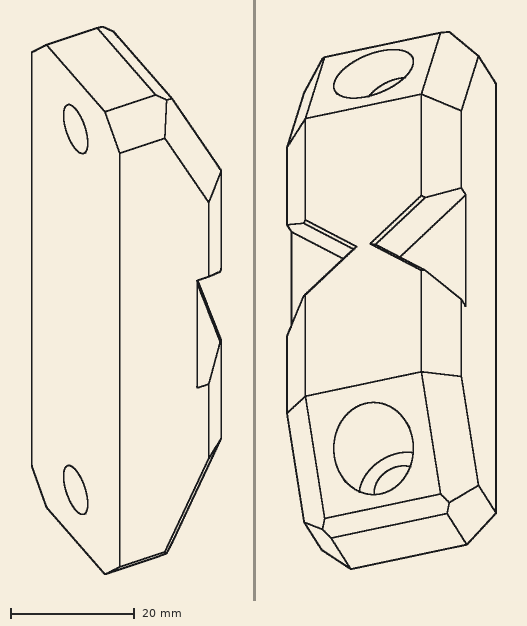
import cadquery as cq

WIDTH = 30.0
THICKNESS = 21.4
LENGTH = 95.0
BEVEL = 5.0

SLOPE_LENGTH = 20.0
SLOPE_END_Y = 11.4
END_CHAMFER = 2.1

HOLE_OFFSET = 37.05
HOLE_DIAMETER = 8.3
COUNTERBORE_DIAMETER = 13.5
COUNTERBORE_FLOOR_Y = 5.0

NOTCH_HALF_WIDTH = 11.0
NOTCH_DEPTH = 13.1
NOTCH_FLOOR_Y = 14.25
NOTCH_EDGE_CHAMFER = 0.5


def make_body():
    half_length = LENGTH / 2
    flat_half = half_length - SLOPE_LENGTH
    profile = [
        (0, -half_length),
        (SLOPE_END_Y, -half_length),
        (THICKNESS, -flat_half),
        (THICKNESS, flat_half),
        (SLOPE_END_Y, half_length),
        (0, half_length),
    ]
    body = cq.Workplane("YZ").polyline(profile).close().extrude(WIDTH / 2, both=True)

    back_edges = body.faces(">Y or (not(#Y or |Y))").edges("not(|X)")
    body = back_edges.chamfer(BEVEL)

    end_cutters = cq.Workplane("YZ").workplane(offset=-WIDTH / 2)
    run = END_CHAMFER / (SLOPE_LENGTH**2 + (THICKNESS - SLOPE_END_Y) ** 2) ** 0.5
    for end in (-1, 1):
        corner = (SLOPE_END_Y, end * half_length)
        on_end = (SLOPE_END_Y - END_CHAMFER, end * half_length)
        on_slope = (
            SLOPE_END_Y + run * (THICKNESS - SLOPE_END_Y),
            end * (half_length - run * SLOPE_LENGTH),
        )
        cutter = end_cutters.polyline([corner, on_end, on_slope]).close().extrude(WIDTH)
        body = body.cut(cutter)

    outline = cq.Workplane("XY").box(WIDTH, 2 * THICKNESS, LENGTH).edges("|Y").chamfer(BEVEL)
    return body.intersect(outline)


def y_cylinder(diameter, start_y, z):
    plane = cq.Workplane("XZ", origin=(0, start_y, z))
    return plane.circle(diameter / 2).extrude(-THICKNESS)


def side_notch(side):
    edge_x = side * WIDTH / 2
    triangle = [
        (edge_x, -NOTCH_HALF_WIDTH),
        (edge_x - side * NOTCH_DEPTH, 0),
        (edge_x, NOTCH_HALF_WIDTH),
    ]
    plane = cq.Workplane("XZ", origin=(0, NOTCH_FLOOR_Y, 0))
    return plane.polyline(triangle).close().extrude(-THICKNESS)


result = make_body()
for hole_z in (-HOLE_OFFSET, HOLE_OFFSET):
    result = result.cut(y_cylinder(HOLE_DIAMETER, 0, hole_z))
    result = result.cut(y_cylinder(COUNTERBORE_DIAMETER, COUNTERBORE_FLOOR_Y, hole_z))
for side in (-1, 1):
    result = result.cut(side_notch(side))

notch_rims = result.faces(">Y").edges("%LINE and (not(|X or |Z))")
result = notch_rims.chamfer(NOTCH_EDGE_CHAMFER)